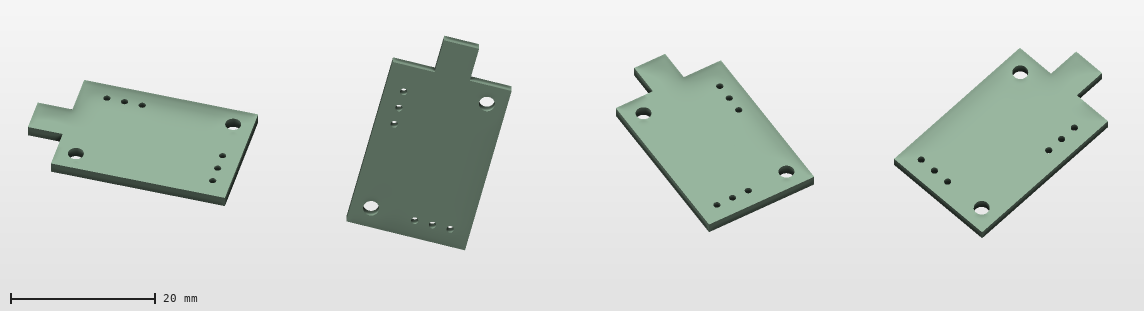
import cadquery as cq

board_length = 25.0
board_width = 17.0
thickness = 1.6
tab_length = 5.0
tab_width = 5.0

mount_diameter = 2.2
mount_inset = 2.8

pin_diameter = 1.0
pin_pitch = 2.54
pin_count = 3
top_row_start_inset = 4.0
top_row_edge_inset = 2.6
side_row_start_inset = 2.8
side_row_edge_inset = 2.54

right = board_length / 2
left = -right
back = board_width / 2
front = -back


def make_board():
    """Rectangular board with a narrower tab centred on its left edge."""
    board = cq.Workplane("XY").box(board_length, board_width, thickness, centered=(True, True, False))
    tab = (
        cq.Workplane("XY")
        .center(left - tab_length / 2, 0)
        .box(tab_length, tab_width, thickness, centered=(True, True, False))
    )
    return board.union(tab)


def drill_through(body, centres, diameter):
    """Cut round holes through the full thickness at the given centres."""
    drills = cq.Workplane("XY").pushPoints(centres).circle(diameter / 2).extrude(thickness)
    return body.cut(drills)


mount_centres = [
    (left + mount_inset, front + mount_inset),
    (right - mount_inset, back - mount_inset),
]
top_row = [
    (left + top_row_start_inset + i * pin_pitch, back - top_row_edge_inset)
    for i in range(pin_count)
]
side_row = [
    (right - side_row_edge_inset, front + side_row_start_inset + i * pin_pitch)
    for i in range(pin_count)
]

result = make_board()
result = drill_through(result, mount_centres, mount_diameter)
result = drill_through(result, top_row + side_row, pin_diameter)